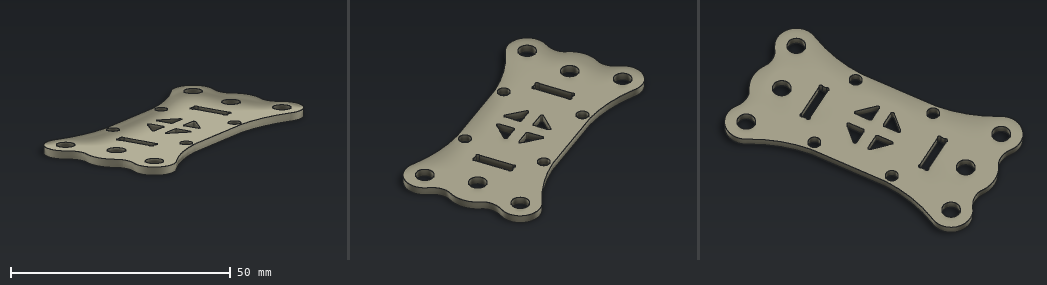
import cadquery as cq
import math

LENGTH = 62.88
WIDTH = 34.25
THICKNESS = 2.0

CORNER_RADIUS = 5.0
END_LOBE_RADIUS = 7.5
TIGHT_VALLEY_RADIUS = 3.6
WIDE_VALLEY_RADIUS = 5.5
CORNER_START_X = 9.25
WAIST_RADIUS = 35.0
WAIST_ARC_TOP_Y = 23.65
WAIST_ARC_BOTTOM_Y = 9.65

LARGE_HOLE_DIAMETER = 4.22
SMALL_HOLE_DIAMETER = 2.9
CORNER_X = WIDTH / 2 - CORNER_RADIUS
CORNER_Y = LENGTH / 2 - CORNER_RADIUS
END_HOLE_Y = 23.75
SMALL_HOLE_SPACING = 20.0

SLOT_LENGTH = 9.7
SLOT_WIDTH = 2.2
SLOT_Y = 15.3
RELIEF_RADIUS = 0.45

CROSS_BAR_WIDTH = 3.0
TRIANGLE_LEG = 4.95
TRIANGLE_FILLET = 0.4

SIGNS = (1, -1)


def point_towards(start, end, distance):
    """Point at the given distance from start along the line to end."""
    ratio = distance / math.dist(start, end)
    return (start[0] + ratio * (end[0] - start[0]), start[1] + ratio * (end[1] - start[1]))


def meeting_point(first, first_distance, second, second_distance):
    """Point at given distances from two points, on the left going from first to second."""
    span = math.dist(first, second)
    along = (first_distance**2 - second_distance**2 + span**2) / (2 * span)
    sideways = math.sqrt(first_distance**2 - along**2)
    foot = point_towards(first, second, along)
    unit_x = (second[0] - first[0]) / span
    unit_y = (second[1] - first[1]) / span
    return (foot[0] - sideways * unit_y, foot[1] + sideways * unit_x)


def quarter_plate():
    """Quarter of the plate in +X, +Y; the end arcs are tangent to each other."""
    lobe = (0, END_HOLE_Y)
    corner = (CORNER_X, CORNER_Y)

    corner_start_rise = math.sqrt(CORNER_RADIUS**2 - (CORNER_X - CORNER_START_X) ** 2)
    corner_start = (CORNER_START_X, CORNER_Y + corner_start_rise)
    wide_valley = point_towards(corner, corner_start, CORNER_RADIUS + WIDE_VALLEY_RADIUS)
    tight_valley = meeting_point(
        wide_valley,
        WIDE_VALLEY_RADIUS - TIGHT_VALLEY_RADIUS,
        lobe,
        END_LOBE_RADIUS + TIGHT_VALLEY_RADIUS,
    )
    valley_joint = point_towards(wide_valley, tight_valley, WIDE_VALLEY_RADIUS)
    lobe_end = point_towards(lobe, tight_valley, END_LOBE_RADIUS)
    lobe_top = (0, END_HOLE_Y + END_LOBE_RADIUS)

    corner_end_drop = CORNER_Y - WAIST_ARC_TOP_Y
    corner_end = (CORNER_X + math.sqrt(CORNER_RADIUS**2 - corner_end_drop**2), WAIST_ARC_TOP_Y)
    corner_middle = (CORNER_X + CORNER_RADIUS, CORNER_Y)
    waist_end = (CORNER_X, WAIST_ARC_BOTTOM_Y)

    return (
        cq.Workplane("XY")
        .lineTo(*lobe_top)
        .radiusArc(lobe_end, END_LOBE_RADIUS)
        .radiusArc(valley_joint, -TIGHT_VALLEY_RADIUS)
        .radiusArc(corner_start, -WIDE_VALLEY_RADIUS)
        .threePointArc(corner_middle, corner_end)
        .radiusArc(waist_end, -WAIST_RADIUS)
        .lineTo(CORNER_X, 0)
        .close()
        .extrude(THICKNESS)
    )


def plate():
    """Whole plate, mirrored from one quarter."""
    quarter = quarter_plate()
    half = quarter.union(quarter.mirror("YZ"))
    return half.union(half.mirror("XZ")).clean()


def round_holes():
    """Large holes at the corners and ends, small holes on a square."""
    corners = cq.Workplane("XY").rect(2 * CORNER_X, 2 * CORNER_Y, forConstruction=True).vertices()
    ends = cq.Workplane("XY").pushPoints([(0, sign * END_HOLE_Y) for sign in SIGNS])
    square = cq.Workplane("XY").rect(SMALL_HOLE_SPACING, SMALL_HOLE_SPACING, forConstruction=True).vertices()
    cutters = corners.circle(LARGE_HOLE_DIAMETER / 2).extrude(THICKNESS)
    cutters = cutters.add(ends.circle(LARGE_HOLE_DIAMETER / 2).extrude(THICKNESS))
    return cutters.add(square.circle(SMALL_HOLE_DIAMETER / 2).extrude(THICKNESS)).combine()


def slot(centre_y):
    """Rectangular slot; each relief circle passes through a corner of the rectangle."""
    inset = RELIEF_RADIUS / math.sqrt(2)
    base = cq.Workplane("XY").center(0, centre_y)
    reliefs = (
        base.rect(SLOT_LENGTH - 2 * inset, SLOT_WIDTH - 2 * inset, forConstruction=True)
        .vertices()
        .circle(RELIEF_RADIUS)
        .extrude(THICKNESS)
    )
    return base.rect(SLOT_LENGTH, SLOT_WIDTH).extrude(THICKNESS).union(reliefs)


def triangle_window(sign_x, sign_y):
    """Right triangle with rounded corners; its right angle faces the plate centre."""
    inner = CROSS_BAR_WIDTH / 2
    tip = inner + TRIANGLE_LEG
    return (
        cq.Workplane("XY")
        .moveTo(sign_x * inner, sign_y * inner)
        .lineTo(sign_x * tip, sign_y * inner)
        .lineTo(sign_x * inner, sign_y * tip)
        .close()
        .extrude(THICKNESS)
        .edges("|Z")
        .fillet(TRIANGLE_FILLET)
    )


result = plate().cut(round_holes())
for sign_y in SIGNS:
    result = result.cut(slot(sign_y * SLOT_Y))
    for sign_x in SIGNS:
        result = result.cut(triangle_window(sign_x, sign_y))